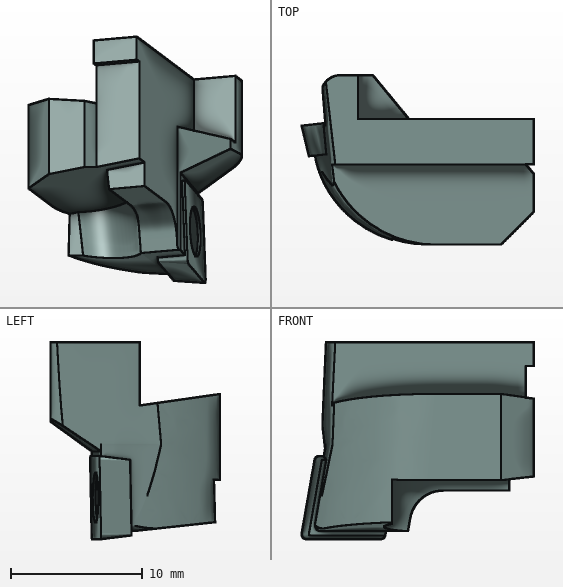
import cadquery as cq
import math


LENGTH = 17.69
HEIGHT = 15.0
DEPTH_IN_FRONT = 6.1
DEPTH_BEHIND = 6.8
BIG = 40.0

LEAD_ANGLE = 6.5
CORNER_LEAN = 10.0
LEFT_LEAN = 2.9
LEAD_SLOPE = math.tan(math.radians(LEAD_ANGLE))

INSERT_HEIGHT = 6.35
INSERT_THICKNESS = 2.38
INSERT_RADIUS = 0.4
INSERT_RELIEF = 7.0
INSERT_SIDE = INSERT_HEIGHT / math.cos(math.radians(CORNER_LEAN))
RAKE_Y = 2.95
RECESS_DIAMETER = 3.8
RECESS_DEPTH = 0.22

TONGUE_BACK = 3.46
TONGUE_END_STEP = 0.61
TONGUE_LIP = 1.82
TONGUE_END = LENGTH - TONGUE_END_STEP

LEFT_TOP_X = 2.57
LEFT_BREAK_Z = 7.22
CORNER_RADIUS = 0.5

BLOCK_RADIUS = 8.45
BLOCK_LEAN = 4.9
BLOCK_TANGENT_X = 9.2
BLOCK_CHAMFER = 2.5
BLOCK_BACK_CHAMFER_Y = 0.73
LEDGE_Z = 10.2
LEDGE_ANGLE = 8.1
BLOCK_BOTTOM_Z = 4.5
BLOCK_BOTTOM_ANGLE = 6.3

WING_SHOULDER_X = 4.3
WING_BACK_X = 5.42
WING_FOOT_X = 8.17
WING_RADIUS = 1.5
WING_ROUND_X = 2.97
SHELF_Z = 10.3
SHELF_ANGLE = 9.5
GULLET_Z = 6.7
GULLET_ANGLE = 33.6
GULLET_DEPTH = 0.2

FOOT_Z = 0.62
FOOT_RELIEF = 6.2
FOOT_RELIEF_Y = 0.5
FOOT_CURVE_LEFT = 6.87
FOOT_CURVE_RADIUS = 3.48
FOOT_CURVE_X = 9.77
FOOT_WALL_DEPTH = 6.57
FOOT_END_X = 15.82
HEEL_Z = 3.7
HEEL_RADIUS = 2.5
HEEL_X = 10.75


def tilted(degrees):
    """Sine and cosine of an angle."""
    angle = math.radians(degrees)
    return math.sin(angle), math.cos(angle)


def half_space(point, outward):
    """Everything on the outward side of a plane."""
    plane = cq.Plane(origin=point, normal=outward)
    return cq.Workplane(plane).rect(4 * BIG, 4 * BIG).extrude(4 * BIG)


def box(x, y, z):
    """A box between two limits on each axis."""
    size = (x[1] - x[0], y[1] - y[0], z[1] - z[0])
    return cq.Workplane("XY").box(*size, centered=False).translate((x[0], y[0], z[0]))


def prism(outline):
    """An upright prism from Z = 0 to the top face."""
    return cq.Workplane("XY").polyline(outline).close().extrude(HEIGHT)


lead_sin, lead_cos = tilted(LEAD_ANGLE)
RAKE_NORMAL = (-lead_sin, lead_cos, 0)
RAKE_POINT = (0, RAKE_Y, 0)


def make_insert(with_recess):
    half_corner = math.radians(90 - CORNER_LEAN) / 2
    overhang = INSERT_RADIUS / math.tan(half_corner) - INSERT_RADIUS
    start = (-overhang * lead_cos, RAKE_Y - overhang * lead_sin, 0)
    plane = cq.Plane(
        origin=start,
        xDir=(lead_cos, lead_sin, 0),
        normal=tuple(-c for c in RAKE_NORMAL),
    )
    lean = INSERT_HEIGHT * math.tan(math.radians(CORNER_LEAN))
    corners = [
        (0, 0),
        (INSERT_SIDE, 0),
        (INSERT_SIDE + lean, INSERT_HEIGHT),
        (lean, INSERT_HEIGHT),
    ]
    outline = cq.Sketch().polygon([*corners, corners[0]]).vertices().fillet(INSERT_RADIUS)
    insert = cq.Workplane(plane).placeSketch(outline).extrude(INSERT_THICKNESS, taper=INSERT_RELIEF)
    if with_recess:
        middle = ((INSERT_SIDE + lean) / 2, INSERT_HEIGHT / 2)
        recess = cq.Workplane(plane).center(*middle).circle(RECESS_DIAMETER / 2).extrude(RECESS_DEPTH)
        insert = insert.cut(recess)
    return insert


def make_block():
    """Front block: round left side on a leaning axis, flat front, chamfered right end."""
    lean = math.tan(math.radians(BLOCK_LEAN))
    left = BLOCK_TANGENT_X - BLOCK_RADIUS
    middle_y = BLOCK_RADIUS - DEPTH_IN_FRONT
    diagonal = BLOCK_RADIUS * math.sqrt(0.5)
    outline = (
        cq.Workplane("XY")
        .moveTo(0, TONGUE_BACK)
        .lineTo(0, middle_y)
        .lineTo(left, middle_y)
        .threePointArc(
            (BLOCK_TANGENT_X - diagonal, middle_y - diagonal),
            (BLOCK_TANGENT_X, -DEPTH_IN_FRONT),
        )
        .lineTo(BIG, -DEPTH_IN_FRONT)
        .lineTo(BIG, TONGUE_BACK)
        .close()
    )
    face = cq.Face.makeFromWires(outline.val())
    leaning = cq.Solid.extrudeLinear(face, cq.Vector(lean * HEIGHT, 0, HEIGHT))
    right_end = prism(
        [
            (-BIG, -DEPTH_IN_FRONT),
            (LENGTH - BLOCK_CHAMFER, -DEPTH_IN_FRONT),
            (LENGTH, BLOCK_CHAMFER - DEPTH_IN_FRONT),
            (LENGTH, -BLOCK_BACK_CHAMFER_Y),
            (TONGUE_END, 0),
            (TONGUE_END, TONGUE_BACK),
            (-BIG, TONGUE_BACK),
        ]
    )
    ledge_sin, ledge_cos = tilted(LEDGE_ANGLE)
    above_ledge = half_space((0, 0, LEDGE_Z), (0, ledge_sin, ledge_cos))
    return right_end.intersect(cq.Workplane(leaning)).cut(above_ledge)


def make_tongue():
    tongue = box((0, LENGTH), (0, TONGUE_BACK), (LEFT_BREAK_Z, HEIGHT))
    return tongue.cut(box((TONGUE_END, BIG), (-BIG, BIG), (0, HEIGHT - TONGUE_LIP)))


def make_wing():
    """Wing behind the tongue, with a rounded back corner and a lower shelf."""
    round_y = DEPTH_BEHIND - WING_RADIUS
    round_x = WING_ROUND_X - WING_RADIUS
    diagonal = WING_RADIUS * math.sqrt(0.5)
    wing = (
        cq.Workplane("XY")
        .moveTo(round_x, TONGUE_BACK)
        .lineTo(round_x, round_y)
        .threePointArc((WING_ROUND_X - diagonal, round_y + diagonal), (WING_ROUND_X, DEPTH_BEHIND))
        .lineTo(WING_BACK_X, DEPTH_BEHIND)
        .lineTo(WING_FOOT_X, TONGUE_BACK)
        .close()
        .extrude(HEIGHT)
    )
    shelf_sin, shelf_cos = tilted(SHELF_ANGLE)
    above_shelf = half_space((0, TONGUE_BACK, SHELF_Z), (0, shelf_sin, shelf_cos))
    beside_shoulder = box((WING_SHOULDER_X, BIG), (TONGUE_BACK, BIG), (0, BIG))
    return wing.cut(above_shelf.intersect(beside_shoulder))


def gullet_floor_point():
    return tuple(p - GULLET_DEPTH * n for p, n in zip(RAKE_POINT, RAKE_NORMAL))


def cut_gullet(holder):
    """Chip space behind the rake face, closed above by a slope."""
    floor = gullet_floor_point()
    slope_sin, slope_cos = tilted(GULLET_ANGLE)
    slope_normal = (
        RAKE_NORMAL[0] * slope_sin,
        RAKE_NORMAL[1] * slope_sin,
        -slope_cos,
    )
    below_slope = half_space((floor[0], floor[1], GULLET_Z), slope_normal)
    return holder.cut(half_space(floor, RAKE_NORMAL).intersect(below_slope))


def shape_left_side(holder):
    """Upper left side, and a lower part in front of the gullet floor that leans outwards."""
    upper_slope = math.tan(math.radians(LEFT_LEAN))
    lower_slope = math.tan(math.radians(CORNER_LEAN))
    break_x = LEFT_TOP_X - upper_slope * (HEIGHT - LEFT_BREAK_Z)
    upper = half_space((LEFT_TOP_X, 0, HEIGHT), (-1, -LEAD_SLOPE, upper_slope))
    lower_normal = (-1, -LEAD_SLOPE, lower_slope)
    lower = half_space((break_x, 0, LEFT_BREAK_Z), lower_normal)

    relief_sin, relief_cos = tilted(FOOT_RELIEF)
    bottom = half_space((0, FOOT_RELIEF_Y, FOOT_Z), (0, -relief_sin, -relief_cos))

    low_zone = box((-BIG, BIG), (-BIG, BIG), (-BIG, LEFT_BREAK_Z))
    low_zone = low_zone.cut(half_space(gullet_floor_point(), RAKE_NORMAL))
    leaning_side = cq.selectors.DirectionMinMaxSelector(cq.Vector(lower_normal))
    low_shape = low_zone.cut(lower).cut(bottom)
    low_shape = low_shape.faces(leaning_side).edges("<Z").fillet(CORNER_RADIUS)
    return holder.cut(low_zone).cut(upper).union(holder.intersect(low_shape))


def cut_level_bottom(holder):
    """Level the bottom beside the insert, where the relief would run lower."""
    return holder.cut(half_space((0, 0, FOOT_Z), (0, 0, -1)))


def cut_foot_front(holder):
    """Space under the block, square to its sloping bottom, in front of and beside the foot."""
    slope_sin, slope_cos = tilted(BLOCK_BOTTOM_ANGLE)
    plane = cq.Plane(
        origin=(0, -DEPTH_IN_FRONT, BLOCK_BOTTOM_Z),
        xDir=(1, 0, 0),
        normal=(0, -slope_sin, slope_cos),
    )
    middle = FOOT_WALL_DEPTH - FOOT_CURVE_RADIUS
    reach = FOOT_CURVE_X - FOOT_CURVE_LEFT
    curve_start = middle - math.sqrt(FOOT_CURVE_RADIUS**2 - reach**2)
    space = (
        cq.Workplane(plane)
        .moveTo(FOOT_CURVE_LEFT, -BIG)
        .lineTo(FOOT_CURVE_LEFT, curve_start)
        .threePointArc((FOOT_CURVE_X - FOOT_CURVE_RADIUS, middle), (FOOT_CURVE_X, FOOT_WALL_DEPTH))
        .lineTo(FOOT_END_X, FOOT_WALL_DEPTH)
        .lineTo(FOOT_END_X, BIG)
        .lineTo(BIG, BIG)
        .lineTo(BIG, -BIG)
        .close()
        .extrude(-BIG)
    )
    return holder.cut(space)


def cut_heel(holder):
    """Rounded end of the foot, running into the underside of the tongue."""
    lean_sin, lean_cos = tilted(CORNER_LEAN)
    middle_z = HEEL_Z - HEEL_RADIUS
    diagonal = HEEL_RADIUS * math.sqrt(0.5)
    tangent = (HEEL_X - HEEL_RADIUS * lean_cos, middle_z + HEEL_RADIUS * lean_sin)
    space = (
        cq.Workplane("XZ", origin=(0, BIG, 0))
        .moveTo(tangent[0] - tangent[1] * lean_sin / lean_cos, 0)
        .lineTo(*tangent)
        .threePointArc((HEEL_X - diagonal, middle_z + diagonal), (HEEL_X, HEEL_Z))
        .lineTo(BIG, HEEL_Z)
        .lineTo(BIG, 0)
        .close()
        .extrude(2 * BIG)
    )
    return holder.cut(space)


def make_holder():
    holder = make_block().union(make_tongue()).union(make_wing())
    holder = cut_gullet(holder)
    holder = shape_left_side(holder)
    holder = cut_level_bottom(holder)
    holder = cut_foot_front(holder)
    holder = cut_heel(holder)
    return holder.cut(make_insert(with_recess=False))


holder = make_holder()
insert = make_insert(with_recess=True)

result = cq.Compound.makeCompound([holder.val(), insert.val()])